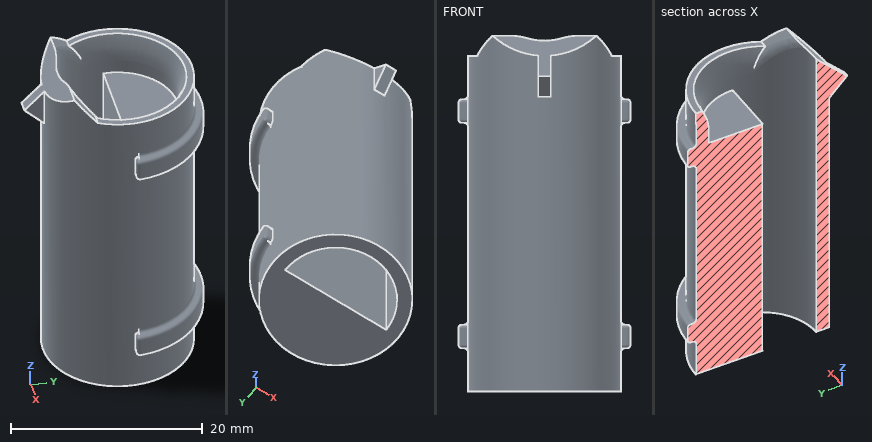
import cadquery as cq
import math

outer_radius = 16.0 / 2
bore_radius = 12.8 / 2
tube_height = 35.0

mouth_radius = 7.2
mouth_depth = 2.97

plug_height = 30.45

peak_height = 37.12
lip_rise = peak_height - tube_height
peak_y = -(outer_radius - lip_rise)
lip_inner_rounding = 1.2

fin_width = 1.3
fin_tip_y = -10.15

rib_radius = 9.0
rib_width = 2.5
rib_rounding = 0.37
rib_foot_radius = 0.37
rib_centers = (5.75, 29.25)


def make_tube():
    tube = cq.Workplane("XY").circle(outer_radius).circle(bore_radius).extrude(tube_height)
    flare = mouth_radius - bore_radius
    arc_radius = (mouth_depth**2 + flare**2) / (2 * flare)
    half_angle = math.asin(mouth_depth / arc_radius) / 2
    arc_middle = (
        bore_radius + arc_radius * (1 - math.cos(half_angle)),
        tube_height - mouth_depth + arc_radius * math.sin(half_angle),
    )
    mouth = (
        cq.Workplane("XZ")
        .moveTo(0, tube_height - mouth_depth)
        .lineTo(bore_radius, tube_height - mouth_depth)
        .threePointArc(arc_middle, (mouth_radius, tube_height))
        .lineTo(0, tube_height)
        .close()
        .revolve(360, (0, 0), (0, 1))
    )
    return tube.cut(mouth)


def make_plug():
    arc_top = (0, bore_radius)
    half_disc = cq.Workplane("XY").moveTo(bore_radius, 0).threePointArc(arc_top, (-bore_radius, 0))
    return half_disc.close().extrude(plug_height)


def make_lip():
    foot_z = peak_height + peak_y - 2 * lip_rise
    wall = cq.Workplane("XY", origin=(0, 0, foot_z)).circle(outer_radius).circle(bore_radius)
    wall = wall.extrude(2 * outer_radius)
    flank_z_at_axis = peak_height + peak_y
    below_back_flank = (
        cq.Workplane("YZ")
        .polyline([
            (0, foot_z),
            (0, flank_z_at_axis),
            (-2 * outer_radius, flank_z_at_axis + 2 * outer_radius),
            (-2 * outer_radius, foot_z),
        ])
        .close()
        .extrude(outer_radius, both=True)
    )
    lip = wall.intersect(below_back_flank)
    flank_rims = lip.edges("%ELLIPSE").vals()
    inner_rim = min(flank_rims, key=lambda rim: rim.Length())
    lip = lip.newObject([inner_rim]).fillet(lip_inner_rounding)
    below_front_flank = (
        cq.Workplane("YZ")
        .polyline([
            (0, foot_z),
            (0, flank_z_at_axis),
            (peak_y, peak_height),
            (-outer_radius, tube_height),
            (-outer_radius, foot_z),
        ])
        .close()
        .extrude(outer_radius, both=True)
    )
    return lip.intersect(below_front_flank)


def make_fin():
    fin_reach = -outer_radius - fin_tip_y
    root_y = -(bore_radius + outer_radius) / 2
    return (
        cq.Workplane("YZ")
        .polyline([
            (root_y, tube_height - fin_reach * 2),
            (-outer_radius, tube_height - fin_reach * 2),
            (fin_tip_y, tube_height - fin_reach),
            (root_y, tube_height + outer_radius + root_y),
        ])
        .close()
        .extrude(fin_width / 2, both=True)
    )


def half_ring(profile):
    """Revolve a radius-height profile around Z through the +Y half."""
    return profile.revolve(180, (0, 0), (0, -1)).rotate((0, 0, 0), (0, 0, 1), 180)


def make_rib(center_z):
    root_radius = (bore_radius + outer_radius) / 2
    half_width = rib_width / 2
    bar = half_ring(
        cq.Workplane("XZ")
        .moveTo((root_radius + rib_radius) / 2, 0)
        .rect(rib_radius - root_radius, rib_width)
    )
    outside = cq.selectors.RadiusNthSelector(-1)
    rim_edges = bar.edges("%CIRCLE").edges(outside)
    end_edges = bar.faces("<Y").edges("|X or <X or >X")
    bar = rim_edges.add(end_edges).fillet(rib_rounding)
    arc_offset = rib_foot_radius * (1 - math.sqrt(0.5))
    foot = half_ring(
        cq.Workplane("XZ")
        .moveTo(root_radius, half_width + rib_foot_radius)
        .lineTo(outer_radius, half_width + rib_foot_radius)
        .threePointArc(
            (outer_radius + arc_offset, half_width + arc_offset),
            (outer_radius + rib_foot_radius, half_width),
        )
        .lineTo(root_radius, half_width)
        .close()
    )
    end_trim = cq.Workplane("XY").box(3 * rib_radius, 2 * rib_rounding, 2 * rib_width)
    foot = foot.cut(end_trim)
    rib = bar.union(foot).union(foot.mirror("XY"))
    return rib.translate((0, 0, center_z))


result = make_tube().union(make_plug()).union(make_lip()).union(make_fin())
for rib_center in rib_centers:
    result = result.union(make_rib(rib_center))